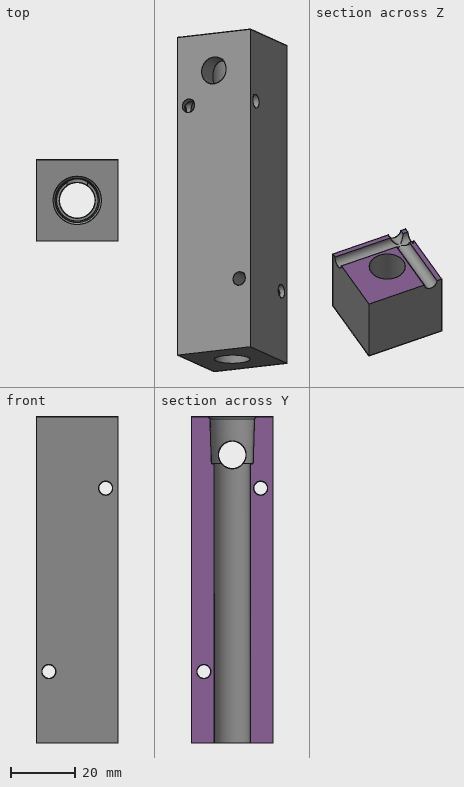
import cadquery as cq

length = 101.6
width = 25.4

bore_diameter = 11.1
socket_depth = 14.6
socket_floor_diameter = 12.9
socket_taper = 1 / 16
mouth_diameter = 15.0
mouth_chamfer = 0.7

port_diameter = 8.5
port_height = 89.7

cross_hole_diameter = 4.3
cross_hole_offset = 8.8
cross_hole_spacing = 57.1


def make_block():
    return cq.Workplane("XY").box(width, width, length, centered=(True, True, False))


def make_bore():
    """Revolve the bore, its socket and the mouth chamfer as one solid to be removed."""
    bore_radius = bore_diameter / 2
    floor_radius = socket_floor_diameter / 2
    floor_height = length - socket_depth
    chamfer_height = length - mouth_chamfer
    taper_radius = floor_radius + socket_taper / 2 * (chamfer_height - floor_height)
    half_profile = [
        (0, 0),
        (bore_radius, 0),
        (bore_radius, floor_height),
        (floor_radius, floor_height),
        (taper_radius, chamfer_height),
        (mouth_diameter / 2, length),
        (0, length),
    ]
    return cq.Workplane("XZ").polyline(half_profile).close().revolve(360, (0, 0), (0, 1))


def make_port():
    """Cylinder from the bore axis out through the +Y face."""
    port = cq.Workplane("XZ").center(0, port_height).circle(port_diameter / 2)
    return port.extrude(-width / 2)


def cut_cross_holes(body):
    """Drill along X and Y: the upper pair on the +X, +Y side, the lower pair on the -X, -Y side."""
    for side in (1, -1):
        offset = side * cross_hole_offset
        height = length / 2 + side * cross_hole_spacing / 2
        for plane in ("XZ", "YZ"):
            drill = cq.Workplane(plane).center(offset, height).circle(cross_hole_diameter / 2)
            body = body.cut(drill.extrude(width / 2, both=True))
    return body


bored_block = make_block().cut(make_bore()).cut(make_port())
result = cut_cross_holes(bored_block)